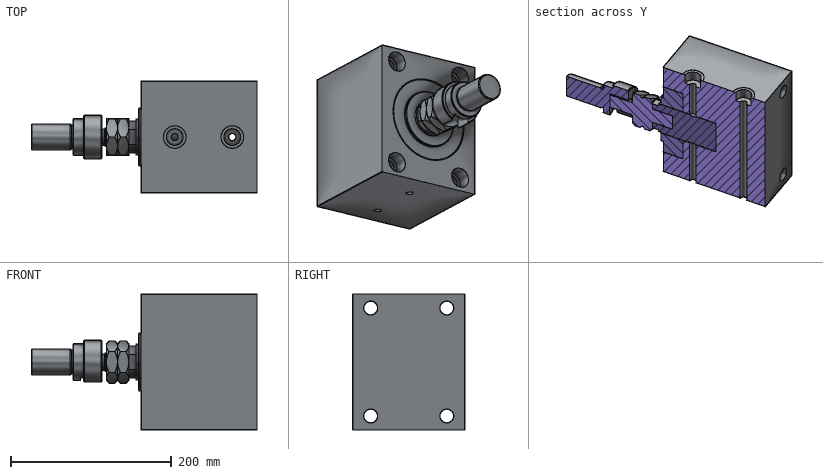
import cadquery as cq
import math

total_length = 282.0
housing_front = 137.0
gland_face = 133.7
rod_shoulder = 130.5
rod_end = 121.8
hex_split = 107.7
hex_front = 93.5
ring_back = 88.3
ring_front = 65.5
slot_front = 61.5
collar_front = 52.0
pin_back = 48.5

housing_width = 140.0
housing_height = 170.0
edge_chamfer = 0.5
bolt_spacing_y = 95.0
bolt_spacing_z = 134.8
bolt_hole_diameter = 17.0
bolt_head_diameter = 25.0
bolt_head_depth = 19.0

port_stations = (179.0, 251.0)
port_seat_diameter = 28.2
port_seat_depth = 0.15
port_diameter = 21.0
port_depth = 13.3
pilot_diameter = 8.7

gland_diameter = 105.0
gland_boss_diameter = 72.2
gland_depth = 28.2
gland_chamfer = 1.0

rod_diameter = 45.0
rod_neck_diameter = 44.0
rod_flats = 40.0
rod_inner_end = 211.5

shank_diameter = 20.5
flare_diameter = 23.0
flare_length = 2.0
flare_taper = 0.8
thread_depth = 28.2
hex_flats = 46.0
hex_corner_chamfer = 3.7

pin_diameter = 33.0
pin_chamfer = 1.0
pin_groove_depth = 1.5
collar_diameter = 46.2
ring_diameter = 55.0
coupling_chamfer = 1.0
slot_width = 22.8


def cylinder(diameter, start, end):
    """Cylinder about the X axis between two stations."""
    return cq.Workplane("YZ", origin=(start, 0, 0)).circle(diameter / 2).extrude(end - start)


def turned(profile):
    """Solid of revolution about the X axis from (station, radius) points."""
    points = [(profile[0][0], 0), *profile, (profile[-1][0], 0)]
    return cq.Workplane("XY").polyline(points).close().revolve(360, (0, 0, 0), (1, 0, 0))


def port_bore(station, diameter, depth):
    """Vertical cylinder reaching down from the top face of the housing."""
    top = cq.Workplane("XY", origin=(station, 0, housing_height / 2))
    return top.circle(diameter / 2).extrude(-depth)


def make_housing():
    """Block with bolt holes, oil ports and the stepped bore for gland and rod."""
    length = total_length - housing_front
    block = (
        cq.Workplane("YZ", origin=(housing_front, 0, 0))
        .rect(housing_width, housing_height)
        .extrude(length)
        .edges("|X")
        .chamfer(edge_chamfer)
    )
    block = (
        block.faces("<X")
        .workplane(origin=(housing_front, 0, 0))
        .rect(bolt_spacing_y, bolt_spacing_z, forConstruction=True)
        .vertices()
        .cboreHole(bolt_hole_diameter, bolt_head_diameter, bolt_head_depth)
    )
    for station in port_stations:
        block = block.cut(port_bore(station, port_seat_diameter, port_seat_depth))
        block = block.cut(port_bore(station, port_diameter, port_depth))
        block = block.cut(port_bore(station, pilot_diameter, housing_height))
    gland_radius = gland_diameter / 2
    gland_bore = turned([
        (housing_front, gland_radius + gland_chamfer),
        (housing_front + gland_chamfer, gland_radius),
        (housing_front + gland_depth, gland_radius),
    ])
    return block.cut(gland_bore).cut(cylinder(rod_diameter, housing_front, rod_inner_end))


def make_gland():
    """Flush disc with a raised, chamfered boss around the rod."""
    disc = cylinder(gland_diameter, housing_front, housing_front + gland_depth)
    boss = cylinder(gland_boss_diameter, gland_face, housing_front)
    boss = boss.faces("<X").edges().chamfer(gland_chamfer)
    rod_hole = cylinder(rod_diameter, gland_face, housing_front + gland_depth)
    return disc.union(boss).cut(rod_hole)


def make_rod():
    """Piston rod with four wrench flats and a plain socket for the stud."""
    rod = cylinder(rod_diameter, rod_shoulder, rod_inner_end)
    neck_length = rod_shoulder - rod_end
    flats = cq.Workplane("YZ", origin=(rod_end, 0, 0)).rect(rod_flats, rod_flats).extrude(neck_length)
    neck = cylinder(rod_neck_diameter, rod_end, rod_shoulder).intersect(flats)
    socket = cylinder(shank_diameter, rod_end, rod_end + thread_depth)
    return rod.union(neck).cut(socket)


def make_hex(start, end):
    """Hexagon with corners up and down, its corners chamfered at both ends."""
    corner_diameter = hex_flats / math.cos(math.pi / 6)
    prism = (
        cq.Workplane("YZ", origin=(start, 0, 0))
        .polygon(6, corner_diameter)
        .extrude(end - start)
        .rotate((0, 0, 0), (1, 0, 0), 90)
    )
    blank = cylinder(corner_diameter, start, end).edges().chamfer(hex_corner_chamfer)
    return prism.intersect(blank)


def make_stud():
    """Coupling stud with two hexagons and a shank that enters coupling and rod."""
    shank = cylinder(shank_diameter, slot_front, rod_end + thread_depth)
    flare_start = hex_front - flare_length
    flare = turned([
        (flare_start, shank_diameter / 2),
        (flare_start + flare_taper, flare_diameter / 2),
        (hex_front, flare_diameter / 2),
    ])
    front_hex = make_hex(hex_front, hex_split)
    back_hex = make_hex(hex_split, rod_end)
    return shank.union(flare).union(front_hex).union(back_hex)


def make_coupling():
    """Pin, collar and ring, with a slot open at the bottom for the stud."""
    pin_radius = pin_diameter / 2
    collar_radius = collar_diameter / 2
    ring_radius = ring_diameter / 2
    groove_radius = pin_radius - pin_groove_depth
    body = turned([
        (0, pin_radius - pin_chamfer),
        (pin_chamfer, pin_radius),
        (pin_back, pin_radius),
        (pin_back + pin_groove_depth, groove_radius),
        (collar_front, groove_radius),
        (collar_front, collar_radius - coupling_chamfer),
        (collar_front + coupling_chamfer, collar_radius),
        (ring_front, collar_radius),
        (ring_front, ring_radius - coupling_chamfer),
        (ring_front + coupling_chamfer, ring_radius),
        (ring_back - coupling_chamfer, ring_radius),
        (ring_back, ring_radius - coupling_chamfer),
    ])
    slot_length = ring_back - slot_front
    slot_opening = (
        cq.Workplane("YZ", origin=(slot_front, 0, -ring_radius / 2))
        .rect(slot_width, ring_radius)
        .extrude(slot_length)
    )
    return body.cut(slot_opening).cut(cylinder(slot_width, slot_front, ring_back))


housing = make_housing()
gland = make_gland()
rod = make_rod()
stud = make_stud()
coupling = make_coupling()

bodies = [housing, gland, rod, stud, coupling]
result = cq.Compound.makeCompound([body.val() for body in bodies])